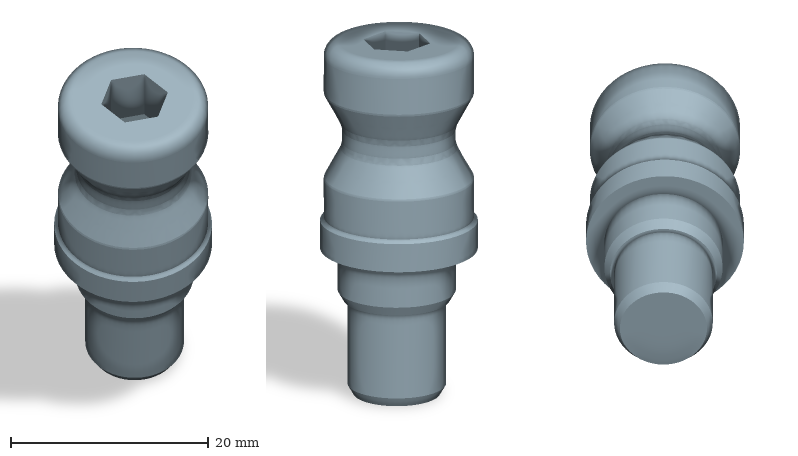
import cadquery as cq
import math

flange_diameter = 16.0
head_diameter = 15.25
neck_diameter = 11.5
collar_diameter = 12
shank_diameter = 10.0

collar_bottom = 10.0
flange_bottom = 15.5
flange_top = 18.85
lower_flank_bottom = 23.02
neck_bottom = 26.5
neck_top = 28.55
upper_flank_top = 32.05
total_height = 37.5

flange_chamfer = (flange_diameter - head_diameter) / 2
end_chamfer_height = 1.0
end_chamfer_angle = math.radians(30)
neck_fillet = 1.5
flank_fillet = 0.5
crown_fillet = 1.5
selection_margin = 0.05

eccentricity = 0.22
socket_across_flats = 6
socket_depth = 6


def round_edges_at(body, heights, radius):
    """Fillet the circular edges lying at the given heights."""
    reach = flange_diameter / 2
    for height in heights:
        low_corner = (-reach, -reach, height - selection_margin)
        high_corner = (reach, reach, height + selection_margin)
        edges_at_height = cq.selectors.BoxSelector(low_corner, high_corner)
        body = body.edges(edges_at_height).edges("%CIRCLE").fillet(radius)
    return body


def make_head():
    """Revolved flange, lower barrel, waisted neck and rounded crown."""
    flange_radius = flange_diameter / 2
    head_radius = head_diameter / 2
    neck_radius = neck_diameter / 2
    profile = [
        (0, flange_bottom),
        (flange_radius, flange_bottom),
        (flange_radius, flange_top - flange_chamfer),
        (head_radius, flange_top),
        (head_radius, lower_flank_bottom),
        (neck_radius, neck_bottom),
        (neck_radius, neck_top),
        (head_radius, upper_flank_top),
        (head_radius, total_height),
        (0, total_height),
    ]
    head = cq.Workplane("XZ").polyline(profile).close().revolve(360, (0, 0), (0, 1))

    head = round_edges_at(head, (neck_bottom, neck_top), neck_fillet)
    head = round_edges_at(head, (lower_flank_bottom, upper_flank_top), flank_fillet)
    return head.faces(">Z").edges().fillet(crown_fillet)


def make_stepped_pin(diameter, bottom, top):
    """Eccentric cylinder with a steep lead-in chamfer around its lower end."""
    radius = diameter / 2
    tip_radius = radius - end_chamfer_height * math.tan(end_chamfer_angle)
    profile = [
        (0, bottom),
        (tip_radius, bottom),
        (radius, bottom + end_chamfer_height),
        (radius, top),
        (0, top),
    ]
    pin = cq.Workplane("XZ").polyline(profile).close().revolve(360, (0, 0), (0, 1))
    return pin.translate((eccentricity, 0, 0))


def make_socket():
    """Hexagonal cutter with two corners on the X direction."""
    across_corners = socket_across_flats / math.cos(math.pi / 6)
    socket_plane = cq.Workplane("XY", origin=(eccentricity, 0, total_height))
    return socket_plane.polygon(6, across_corners).extrude(-socket_depth)


shank = make_stepped_pin(shank_diameter, 0, flange_bottom)
collar = make_stepped_pin(collar_diameter, collar_bottom, flange_bottom)
result = make_head().union(collar).union(shank).cut(make_socket())